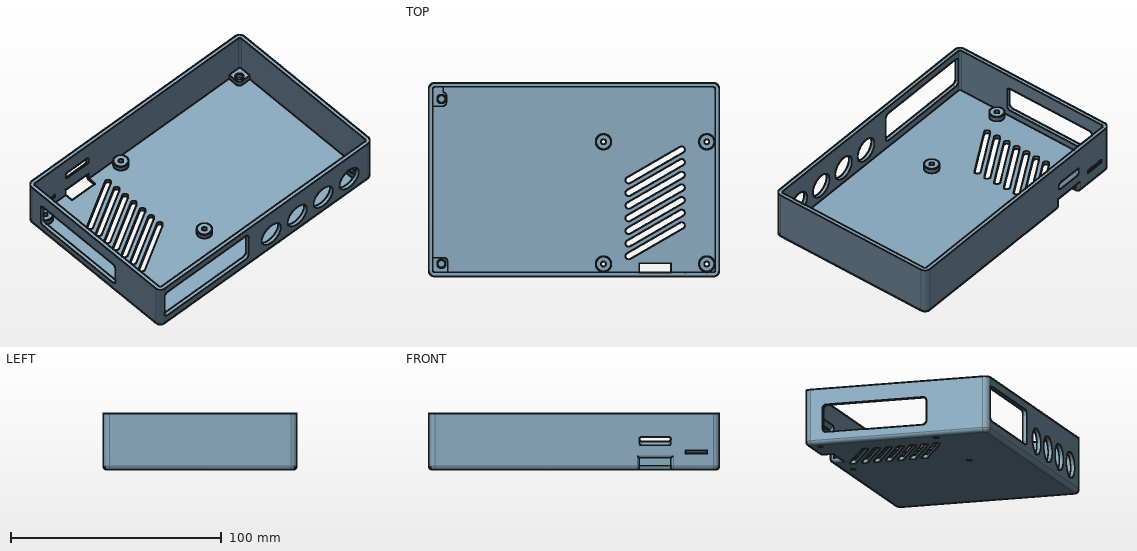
import cadquery as cq

LENGTH = 138.0
WIDTH = 92.0
HEIGHT = 26.8
END_WALL = 2.0
SIDE_WALL = 2.0
FLOOR = 2.0
OUTER_CORNER_RADIUS = 3.0
INNER_CORNER_RADIUS = 1.0
BOTTOM_EDGE_RADIUS = 2.0

OUTER_X = LENGTH / 2
OUTER_Y = WIDTH / 2
INNER_X = OUTER_X - END_WALL
INNER_Y = OUTER_Y - SIDE_WALL
CUT_MARGIN = 1.0

BOARD_HOLE_SPACING_X = 49.0
BOARD_HOLE_SPACING_Y = 58.0
BOARD_X = 38.5
BOARD_Y = -11.0
STANDOFF_DIAMETER = 7.5
STANDOFF_HEIGHT = 2.8
STANDOFF_HOLE = 2.3
STANDOFF_CHAMFER = 0.25

VENT_COUNT = 7
VENT_PITCH = 6.0
VENT_WIDTH = 3.0
VENT_CENTER_DISTANCE = 29.0
VENT_ANGLE = 30.0

POST_HEIGHT = STANDOFF_HEIGHT
POST_HOLE = 3.5
POST_HOLE_CHAMFER = 0.35
POST_HOLE_CHAMFER_ANGLE = 45.0
POST_HOLE_INSET_X = 6.1
POST_CORNER_RADIUS = 1.8
FRONT_POST_INSET = 9.0
FRONT_POST_HOLE_INSET_Y = 6.1
BACK_POST_INSET_X = 8.5
BACK_POST_INSET_Y = 11.1
BACK_POST_HOLE_INSET_Y = 7.7
BACK_POST_NOTCH_X = 1.5
BACK_POST_NOTCH_INSET_Y = 4.6

SOCKET_COUNT = 4
SOCKET_DIAMETER = 12.46
SOCKET_PITCH = 16.85
FIRST_SOCKET_X = -53.9
SOCKET_Z = 11.0
BACK_WINDOW_LEFT = 11.5
BACK_WINDOW_RIGHT = 66.0
BACK_WINDOW_BOTTOM = 5.8
BACK_WINDOW_TOP = 22.8
WINDOW_CORNER_RADIUS = 2.0

RIGHT_WINDOW_WIDTH = 52.0
RIGHT_WINDOW_BOTTOM = 5.5
RIGHT_WINDOW_TOP = 19.0

PLUG_X = BOARD_X
PLUG_WIDTH = 15.0
PLUG_BOTTOM = 11.6
PLUG_TOP = 15.6
PLUG_INWARD_RISE = 2.0
PLUG_CORNER_RADIUS = 1.0

CARD_X = 58.1
CARD_WIDTH = 10.4
CARD_BOTTOM = 7.8
CARD_TOP = 9.4
CARD_INWARD_RISE = -1.7
CARD_CORNER_RADIUS = 0.4

NOTCH_X = PLUG_X
NOTCH_WIDTH = PLUG_WIDTH
NOTCH_HEIGHT = 5.7
NOTCH_BACK_Y = -39.7
NOTCH_EDGE_RADIUS = 1.0
EDGE_TOLERANCE = 0.1


def block(x_min, x_max, y_min, y_max, z_min, z_max):
    size = (x_max - x_min, y_max - y_min, z_max - z_min)
    return cq.Workplane("XY").box(*size, centered=False).translate((x_min, y_min, z_min))


def make_shell():
    outer = block(-OUTER_X, OUTER_X, -OUTER_Y, OUTER_Y, 0, HEIGHT)
    outer = outer.edges("|Z").fillet(OUTER_CORNER_RADIUS)
    outer = outer.faces("<Z").edges().fillet(BOTTOM_EDGE_RADIUS)
    return outer.cut(make_cavity())


def make_cavity():
    cavity = block(-INNER_X, INNER_X, -INNER_Y, INNER_Y, FLOOR, HEIGHT + CUT_MARGIN)
    return cavity.edges("|Z").fillet(INNER_CORNER_RADIUS)


def cut_finger_notch(body):
    notch = block(
        NOTCH_X - NOTCH_WIDTH / 2,
        NOTCH_X + NOTCH_WIDTH / 2,
        -OUTER_Y - CUT_MARGIN,
        NOTCH_BACK_Y,
        -CUT_MARGIN,
        NOTCH_HEIGHT,
    )
    body = body.cut(notch)
    left = NOTCH_X - NOTCH_WIDTH / 2 - CUT_MARGIN
    right = NOTCH_X + NOTCH_WIDTH / 2 + CUT_MARGIN
    wall_middle = -OUTER_Y + SIDE_WALL / 2
    front_edges = cq.selectors.BoxSelector(
        (left, -OUTER_Y - CUT_MARGIN, -CUT_MARGIN),
        (right, wall_middle - EDGE_TOLERANCE, NOTCH_HEIGHT + CUT_MARGIN),
    )
    underside_edges = cq.selectors.BoxSelector(
        (left, wall_middle, -EDGE_TOLERANCE),
        (right, NOTCH_BACK_Y + CUT_MARGIN, EDGE_TOLERANCE),
    )
    return body.edges(front_edges + underside_edges).fillet(NOTCH_EDGE_RADIUS)


def add_standoffs(body):
    def board_holes(z):
        plane = cq.Workplane("XY").workplane(offset=z).center(BOARD_X, BOARD_Y)
        return plane.rarray(BOARD_HOLE_SPACING_X, BOARD_HOLE_SPACING_Y, 2, 2)

    standoffs = board_holes(FLOOR / 2).circle(STANDOFF_DIAMETER / 2).extrude(FLOOR / 2 + STANDOFF_HEIGHT)
    standoffs = standoffs.faces(">Z").edges().chamfer(STANDOFF_CHAMFER)
    holes = board_holes(-CUT_MARGIN).circle(STANDOFF_HOLE / 2).extrude(HEIGHT)
    return body.union(standoffs).cut(holes)


def cut_vents(body):
    vents = (
        cq.Workplane("XY")
        .workplane(offset=-CUT_MARGIN)
        .center(BOARD_X, BOARD_Y)
        .rarray(1, VENT_PITCH, 1, VENT_COUNT)
        .slot2D(VENT_CENTER_DISTANCE + VENT_WIDTH, VENT_WIDTH, VENT_ANGLE)
        .extrude(FLOOR + 2 * CUT_MARGIN)
    )
    return body.cut(vents)


def drill_post(body, y):
    post_top = FLOOR + POST_HEIGHT
    top = cq.Workplane("XY").workplane(offset=post_top).center(-OUTER_X + POST_HOLE_INSET_X, y)
    hole = top.circle(POST_HOLE / 2).extrude(-POST_HEIGHT)
    mouth_radius = POST_HOLE / 2 + POST_HOLE_CHAMFER
    mouth = top.circle(mouth_radius).extrude(-POST_HOLE_CHAMFER, taper=POST_HOLE_CHAMFER_ANGLE)
    return body.cut(hole).cut(mouth)


def add_front_post(body):
    wall_x = -OUTER_X + END_WALL / 2
    wall_y = -OUTER_Y + SIDE_WALL / 2
    post = block(
        wall_x,
        -OUTER_X + FRONT_POST_INSET,
        wall_y,
        -OUTER_Y + FRONT_POST_INSET,
        FLOOR / 2,
        FLOOR + POST_HEIGHT,
    )
    post = post.edges("|Z and >X and >Y").fillet(POST_CORNER_RADIUS)
    return drill_post(body.union(post), -OUTER_Y + FRONT_POST_HOLE_INSET_Y)


def add_back_post(body):
    wall_x = -OUTER_X + END_WALL / 2
    wall_y = OUTER_Y - SIDE_WALL / 2
    side_x = -OUTER_X + BACK_POST_INSET_X
    shoulder_y = OUTER_Y - BACK_POST_NOTCH_INSET_Y
    front_y = OUTER_Y - BACK_POST_INSET_Y
    post = (
        cq.Workplane("XY")
        .workplane(offset=FLOOR / 2)
        .moveTo(wall_x, wall_y)
        .lineTo(side_x - BACK_POST_NOTCH_X, wall_y)
        .lineTo(side_x - BACK_POST_NOTCH_X, shoulder_y)
        .radiusArc((side_x, shoulder_y - BACK_POST_NOTCH_X), BACK_POST_NOTCH_X)
        .lineTo(side_x, front_y + POST_CORNER_RADIUS)
        .radiusArc((side_x - POST_CORNER_RADIUS, front_y), POST_CORNER_RADIUS)
        .lineTo(wall_x, front_y)
        .close()
        .extrude(FLOOR / 2 + POST_HEIGHT)
    )
    return drill_post(body.union(post), OUTER_Y - BACK_POST_HOLE_INSET_Y)


def cut_back_wall(body):
    wall_front = INNER_Y - CUT_MARGIN
    wall_back = OUTER_Y + CUT_MARGIN
    window = block(
        BACK_WINDOW_LEFT,
        BACK_WINDOW_RIGHT,
        wall_front,
        wall_back,
        BACK_WINDOW_BOTTOM,
        BACK_WINDOW_TOP,
    )
    body = body.cut(window.edges("|Y").fillet(WINDOW_CORNER_RADIUS))
    for index in range(SOCKET_COUNT):
        socket_x = FIRST_SOCKET_X + index * SOCKET_PITCH
        center = cq.Vector(socket_x, wall_front, SOCKET_Z)
        socket = cq.Solid.makeCylinder(
            SOCKET_DIAMETER / 2, wall_back - wall_front, center, cq.Vector(0, 1, 0)
        )
        body = body.cut(cq.Workplane(socket))
    return body


def cut_right_window(body):
    window = block(
        INNER_X - CUT_MARGIN,
        OUTER_X + CUT_MARGIN,
        BOARD_Y - RIGHT_WINDOW_WIDTH / 2,
        BOARD_Y + RIGHT_WINDOW_WIDTH / 2,
        RIGHT_WINDOW_BOTTOM,
        RIGHT_WINDOW_TOP,
    )
    return body.cut(window.edges("|X").fillet(WINDOW_CORNER_RADIUS))


def sloping_slot(x, width, bottom, top, corner_radius, inward_rise):
    """Rounded slot through the front wall that climbs by inward_rise on its way in."""
    slot = (
        cq.Workplane("YZ")
        .workplane(offset=x - width / 2)
        .polyline(
            [
                (-OUTER_Y, bottom),
                (-INNER_Y, bottom + inward_rise),
                (-INNER_Y, top + inward_rise),
                (-OUTER_Y, top),
            ]
        )
        .close()
        .extrude(width)
    )
    return slot.edges("not (|X or |Z)").fillet(corner_radius)


def cut_front_slots(body):
    plug = sloping_slot(PLUG_X, PLUG_WIDTH, PLUG_BOTTOM, PLUG_TOP, PLUG_CORNER_RADIUS, PLUG_INWARD_RISE)
    card = sloping_slot(CARD_X, CARD_WIDTH, CARD_BOTTOM, CARD_TOP, CARD_CORNER_RADIUS, CARD_INWARD_RISE)
    return body.cut(plug).cut(card)


result = make_shell()
result = cut_finger_notch(result)
result = add_standoffs(result)
result = cut_vents(result)
result = add_front_post(result)
result = add_back_post(result)
result = cut_back_wall(result)
result = cut_right_window(result)
result = cut_front_slots(result)